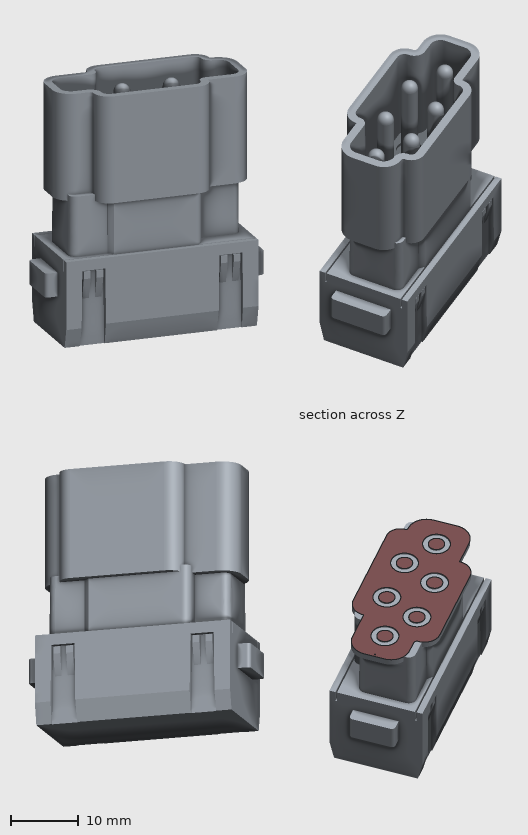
import cadquery as cq
import math

WIDTH = 14.6
TOTAL_HEIGHT = 38.55
LENGTH_OVER_TABS = 34.16
BODY_LENGTH = 30.3
HALF_WIDTH = WIDTH / 2
HALF_LENGTH = BODY_LENGTH / 2

BASE_HEIGHT = 13.57
BOTTOM_INSET = 0.72
BEVEL_HEIGHT = 3.28
FRONT_BEVEL_HEIGHT = 3.0
SLOT_DEPTH = 1.77
SLOT_INNER_X = 6.12
SLOT_WIDTH = 0.25

TAB_BOTTOM_Z = 7.08
TAB_TOP_Z = 10.81
FRONT_TAB_WIDTH = 7.15
REAR_TAB_WIDTH = 9.1
TAB_CORNER_RADIUS = 0.6

CHANNEL_Y = 10.8
CHANNEL_DEPTH = 0.9
CHANNEL_TOP_Z = 11.9
CHANNEL_TOP_WIDTH = 3.63
CHANNEL_BOTTOM_WIDTH = 3.92
BARB_HEIGHT = 0.8
BARB_WIDTH = 1.05
BARB_SPACING = 2.0
BARB_TOP_Z = 11.65
BARB_SLOPE_Z = 10.57
BARB_BOTTOM_Z = 7.3

SHROUD_HEIGHT = 16.65
SHROUD_BOTTOM_Z = TOTAL_HEIGHT - SHROUD_HEIGHT
WALL = 1.26
CAVITY_DEPTH = SHROUD_HEIGHT - WALL
CAVITY_DRAFT = 1.0
FLOOR_Z = TOTAL_HEIGHT - CAVITY_DEPTH
LOBE_X = 4.8
LOBE_STEP_X = 4.23
LOBE_RADIUS = 2.9
SIDE_RADIUS = 2.45
FRONT_NOTCH_RADIUS = 0.5
REAR_NOTCH_RADIUS = 0.3

NECK_OVERLAP = 1.0
NECK_TOP_Z = SHROUD_BOTTOM_Z + NECK_OVERLAP
NECK_HALF_LENGTH = 13.8
NECK_NEAR_X = 3.5
NECK_FAR_X = 5.45
NECK_WIDE_END_Y = 8.46
NECK_RIGHT_END_Y = 6.87
NECK_STEP_Y = 7.19
NECK_STEP_END_Y = 8.0
NECK_RADIUS = 1.2
NECK_DRAFT = 0.6

PIN_DIAMETER = 2.5
PIN_TIP_GAP = 1.7
PIN_RECESS_DIAMETER = 4.05
PIN_RECESS_DEPTH = 0.5
PIN_HALF_PATTERN = [(0.29, 10.48), (-2.8, 5.1), (2.8, 2.65)]


def rounded_outline(corners, z):
    """Closed outline through (x, y, radius) corners; a zero radius leaves the corner sharp."""
    points = []
    for i, (x, y, radius) in enumerate(corners):
        before = corners[i - 1]
        after = corners[(i + 1) % len(corners)]
        to_before = cq.Vector(before[0] - x, before[1] - y).normalized()
        to_after = cq.Vector(after[0] - x, after[1] - y).normalized()
        corner = cq.Vector(x, y)
        if radius == 0:
            points.append((corner, corner, corner))
            continue
        half_angle = to_before.getAngle(to_after) / 2
        reach = radius / math.tan(half_angle)
        bisector = (to_before + to_after).normalized()
        middle = corner + bisector * (radius / math.sin(half_angle) - radius)
        points.append((corner + to_before * reach, middle, corner + to_after * reach))
    outline = cq.Workplane("XY", origin=(0, 0, z)).moveTo(*points[0][2].toTuple()[:2])
    for start, middle, end in points[1:] + points[:1]:
        outline = outline.lineTo(*start.toTuple()[:2])
        if start is not end:
            outline = outline.threePointArc(middle.toTuple()[:2], end.toTuple()[:2])
    return outline.close()


def box_between(low, high):
    size = [b - a for a, b in zip(low, high)]
    return cq.Workplane("XY").box(*size, centered=False).translate(low)


def both_sides(solid):
    """The solid on the -X side together with its mirror image on the +X side."""
    return solid.union(solid.mirror("YZ"))


def side_bevel(y_start, y_end, height):
    """Wedge that bevels the lower -X edge of the base between two Y positions."""
    return (
        cq.Workplane("XZ", origin=(0, y_start, 0))
        .polyline([(-HALF_WIDTH, 0), (-HALF_WIDTH + BOTTOM_INSET, 0), (-HALF_WIDTH, height)])
        .close()
        .extrude(y_start - y_end)
    )


def channel(y):
    """Shallow channel in the -X side, slightly wider at the open bottom."""
    half_top = CHANNEL_TOP_WIDTH / 2
    half_bottom = CHANNEL_BOTTOM_WIDTH / 2
    return (
        cq.Workplane("YZ", origin=(-HALF_WIDTH, 0, 0))
        .polyline([
            (y - half_bottom, 0),
            (y + half_bottom, 0),
            (y + half_top, CHANNEL_TOP_Z),
            (y - half_top, CHANNEL_TOP_Z),
        ])
        .close()
        .extrude(CHANNEL_DEPTH)
    )


def barb(y):
    """Barb on a channel floor: upright at the top, sloping back to the floor below."""
    floor_x = -HALF_WIDTH + CHANNEL_DEPTH
    tip_x = floor_x - BARB_HEIGHT
    return (
        cq.Workplane("XZ", origin=(0, y, 0))
        .polyline([
            (floor_x, BARB_BOTTOM_Z),
            (tip_x, BARB_SLOPE_Z),
            (tip_x, BARB_TOP_Z),
            (floor_x, BARB_TOP_Z),
        ])
        .close()
        .extrude(BARB_WIDTH / 2, both=True)
    )


def tab(width, direction):
    """Latch tab on the end face that looks along the given Y direction (+1 or -1)."""
    tip_y = LENGTH_OVER_TABS / 2
    solid = box_between((-width / 2, 0, TAB_BOTTOM_Z), (width / 2, tip_y, TAB_TOP_Z))
    solid = solid.edges("|Z and >Y").fillet(TAB_CORNER_RADIUS)
    return solid if direction > 0 else solid.mirror("XZ")


def base():
    block = box_between((-HALF_WIDTH, -HALF_LENGTH, 0), (HALF_WIDTH, HALF_LENGTH, BASE_HEIGHT))
    block = block.cut(both_sides(side_bevel(-HALF_LENGTH, -CHANNEL_Y, FRONT_BEVEL_HEIGHT)))
    block = block.cut(both_sides(side_bevel(-CHANNEL_Y, HALF_LENGTH, BEVEL_HEIGHT)))
    slot = box_between(
        (-SLOT_INNER_X - SLOT_WIDTH, -HALF_LENGTH, BASE_HEIGHT - SLOT_DEPTH),
        (-SLOT_INNER_X, HALF_LENGTH, BASE_HEIGHT),
    )
    block = block.cut(both_sides(slot))
    for y in (-CHANNEL_Y, CHANNEL_Y):
        block = block.cut(both_sides(channel(y)))
        for offset in (-BARB_SPACING / 2, BARB_SPACING / 2):
            block = block.union(both_sides(barb(y + offset)))
    return block.union(tab(FRONT_TAB_WIDTH, -1)).union(tab(REAR_TAB_WIDTH, 1))


def neck():
    """Upright wide middle with a drafted lobe at each end, the two lobes in point symmetry."""
    height = NECK_TOP_Z - BASE_HEIGHT
    wide_half = [
        (SLOT_INNER_X, -NECK_STEP_Y, 0),
        (SLOT_INNER_X, NECK_RIGHT_END_Y, NECK_RADIUS),
        (0, NECK_RIGHT_END_Y, 0),
        (0, NECK_STEP_END_Y, 0),
        (-NECK_FAR_X, NECK_STEP_END_Y, 0),
        (-SLOT_INNER_X, NECK_STEP_Y, 0),
        (-SLOT_INNER_X, -NECK_WIDE_END_Y, NECK_RADIUS),
        (0, -NECK_WIDE_END_Y, 0),
        (0, -NECK_STEP_END_Y, 0),
        (NECK_FAR_X, -NECK_STEP_END_Y, 0),
    ]
    lobe = [
        (-NECK_NEAR_X, -NECK_HALF_LENGTH, NECK_RADIUS),
        (NECK_FAR_X, -NECK_HALF_LENGTH, NECK_RADIUS),
        (NECK_FAR_X, 0, 0),
        (-NECK_NEAR_X, 0, 0),
    ]
    front_lobe = rounded_outline(lobe, BASE_HEIGHT).extrude(height, taper=NECK_DRAFT)
    rear_lobe = front_lobe.rotate((0, 0, 0), (0, 0, 1), 180)
    return rounded_outline(wide_half, BASE_HEIGHT).extrude(height).union(front_lobe).union(rear_lobe)


def shroud_outline(z):
    left_front_y = -7.38
    left_rear_y = 11.88
    right_front_y = -9.95
    right_rear_y = 8.13
    return rounded_outline([
        (-LOBE_X, -HALF_LENGTH, LOBE_RADIUS),
        (LOBE_STEP_X, -HALF_LENGTH, LOBE_RADIUS),
        (LOBE_STEP_X, right_front_y, FRONT_NOTCH_RADIUS),
        (HALF_WIDTH, right_front_y, SIDE_RADIUS),
        (HALF_WIDTH, right_rear_y, SIDE_RADIUS),
        (LOBE_X, right_rear_y, 0),
        (LOBE_X, HALF_LENGTH, LOBE_RADIUS),
        (-LOBE_X, HALF_LENGTH, LOBE_RADIUS),
        (-LOBE_X, left_rear_y, REAR_NOTCH_RADIUS),
        (-HALF_WIDTH, left_rear_y, SIDE_RADIUS - REAR_NOTCH_RADIUS),
        (-HALF_WIDTH, left_front_y, SIDE_RADIUS),
        (-LOBE_X, left_front_y, 0),
    ], z)


def cavity():
    """Drafted inside of the shroud, narrowing toward its floor."""
    return shroud_outline(TOTAL_HEIGHT).offset2D(-WALL).extrude(-CAVITY_DEPTH, taper=CAVITY_DRAFT)


def pins():
    """Round-nosed pins standing in shallow recesses of the cavity floor."""
    positions = PIN_HALF_PATTERN + [(-x, -y) for x, y in PIN_HALF_PATTERN]
    foot_z = FLOOR_Z - PIN_RECESS_DEPTH
    nose_radius = PIN_DIAMETER / 2
    nose_z = TOTAL_HEIGHT - PIN_TIP_GAP - nose_radius
    floor = cq.Workplane("XY", origin=(0, 0, foot_z)).pushPoints(positions)
    recesses = floor.circle(PIN_RECESS_DIAMETER / 2).extrude(PIN_RECESS_DEPTH)
    shafts = floor.circle(nose_radius).extrude(nose_z - foot_z)
    noses = cq.Workplane("XY", origin=(0, 0, nose_z)).pushPoints(positions).sphere(nose_radius)
    return recesses, shafts.union(noses)


shroud = shroud_outline(SHROUD_BOTTOM_Z).extrude(SHROUD_HEIGHT)
pin_recesses, contact_pins = pins()
result = base().union(neck()).union(shroud)
result = result.cut(cavity()).cut(pin_recesses).union(contact_pins)